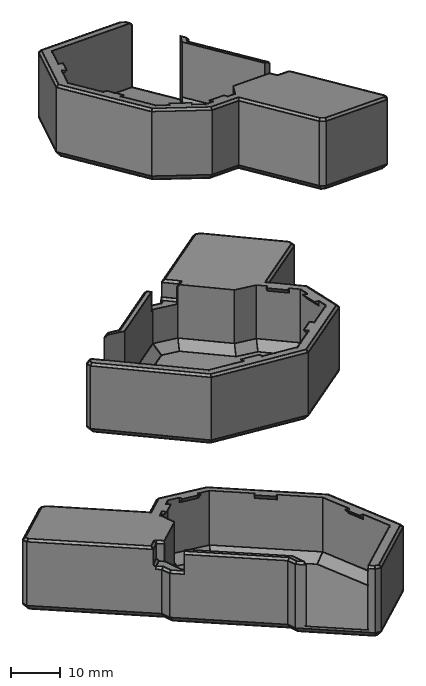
import cadquery as cq
import math

length = 73.8
depth = 41.6
height = 15.1

top_chamfer = 0.5
base_chamfer = 1.0
corner_cut = 1.0

lower_left_x = 17.85
lower_left_y = 15.6
lower_right_x = 42.95
housing_right = 51.6
arm_front = 16.9
arm_back = 37.85
back_face = 39.8
back_step_x = 17.35
arm_step_x = 45.25

wall = 2.5
back_wall = 1.55
floor = 1.55
floor_chamfer = 2.0
arm_end_wall_x = 45.45
arm_corner_sum = 67.8

notch_left = 40.4
notch_right = 47.0
notch_front = 34.25
notch_floor = 10.9

tab_width = 4.5
tab_reach = 1.0

overlap = 0.75

lower_right_y = housing_right - lower_right_x

outline = [
    (0, depth - corner_cut),
    (0, lower_left_y),
    (lower_left_x, 0),
    (lower_right_x, 0),
    (housing_right, lower_right_y),
    (housing_right, arm_front),
    (length - corner_cut, arm_front),
    (length, arm_front + corner_cut),
    (length, arm_back - corner_cut),
    (length - corner_cut, arm_back),
    (arm_step_x, arm_back),
    (arm_step_x - (back_face - arm_back), back_face),
    (back_step_x + (depth - back_face), back_face),
    (back_step_x, depth),
    (corner_cut, depth),
]

front_slope = lower_left_y / lower_left_x
slant_wall = wall * math.hypot(1, front_slope)
diagonal_wall = wall * math.sqrt(2)

inner_right = housing_right - wall
inner_back = back_face - back_wall
inner_left_y = lower_left_y + slant_wall - front_slope * wall
inner_front_x = (lower_left_y + slant_wall - wall) / front_slope
diagonal_offset = lower_right_x - diagonal_wall
arm_diagonal_sum = arm_step_x + arm_back - diagonal_wall
opening_sum = back_step_x + depth - back_wall * math.sqrt(2)

slant_start = (wall, inner_left_y)
slant_end = (inner_front_x, wall)
front_end = (diagonal_offset + wall, wall)
right_start = (inner_right, inner_right - diagonal_offset)
right_end = (inner_right, arm_corner_sum - inner_right)
arm_wall_start = (arm_end_wall_x, arm_corner_sum - arm_end_wall_x)
arm_wall_end = (arm_end_wall_x, arm_diagonal_sum - arm_end_wall_x)
back_start = (arm_diagonal_sum - inner_back, inner_back)
back_end = (opening_sum - inner_back, inner_back)
opening_y = depth + overlap

tabbed_walls = [slant_start, slant_end, front_end, right_start, right_end]
plain_walls = [arm_wall_start, arm_wall_end, back_start, back_end]
chamfered_walls = tabbed_walls + plain_walls


def midpoint(start, end, level):
    """Point halfway along a wall, at the given height."""
    return ((start[0] + end[0]) / 2, (start[1] + end[1]) / 2, level)


def outer_block(top):
    """Solid outline up to the given height, with base and top edges chamfered."""
    block = cq.Workplane("XY").polyline(outline).close().extrude(top)
    return block.faces("<Z").chamfer(base_chamfer).faces(">Z").chamfer(top_chamfer)


def cavity():
    """Pocket open at the top and at the back left, with sloped edges along its floor."""
    plan = chamfered_walls + [(opening_sum - opening_y, opening_y), (wall, opening_y)]
    pocket = cq.Workplane("XY", origin=(0, 0, floor)).polyline(plan).close().extrude(height)
    floor_edges = []
    for start, end in zip(chamfered_walls, chamfered_walls[1:]):
        middle = midpoint(start, end, floor)
        floor_edges.append(pocket.edges(cq.NearestToPointSelector(middle)).val())
    return pocket.newObject(floor_edges).chamfer(floor_chamfer)


def notch():
    """Rim notch: sloped at the foot of its right wall, flared at the top toward the arm."""
    profile = [
        (notch_left, notch_floor - overlap),
        (notch_right - top_chamfer, notch_floor - overlap),
        (notch_right - top_chamfer, notch_floor),
        (notch_right, notch_floor + top_chamfer),
        (notch_right, height),
        (notch_left, height),
    ]
    run = back_face + overlap - notch_front
    cutter = cq.Workplane("XZ", origin=(0, notch_front, 0)).polyline(profile).close().extrude(-run)
    flare_left = notch_left + 2 * top_chamfer
    flare = (
        cq.Workplane("XY", origin=(flare_left, notch_front, height - top_chamfer))
        .rect(notch_right - flare_left, run, centered=False)
        .extrude(top_chamfer, taper=-45)
    )
    return cutter.union(flare).cut(outer_block(notch_floor))


def snap_tab(start, end):
    """Wedge centred on an inner wall, flat at the rim and sloped underneath."""
    along = cq.Vector(end[0] - start[0], end[1] - start[1], 0)
    inward = cq.Vector(start[1] - end[1], end[0] - start[0], 0)
    plane = cq.Plane(origin=midpoint(start, end, height), xDir=inward, normal=along.multiply(-1))
    profile = [
        (-overlap, 0),
        (tab_reach, 0),
        (0, tab_reach),
        (-overlap, tab_reach),
    ]
    return cq.Workplane(plane).polyline(profile).close().extrude(tab_width / 2, both=True)


result = outer_block(height).cut(cavity()).cut(notch())
for start, end in zip(tabbed_walls, tabbed_walls[1:]):
    result = result.union(snap_tab(start, end))